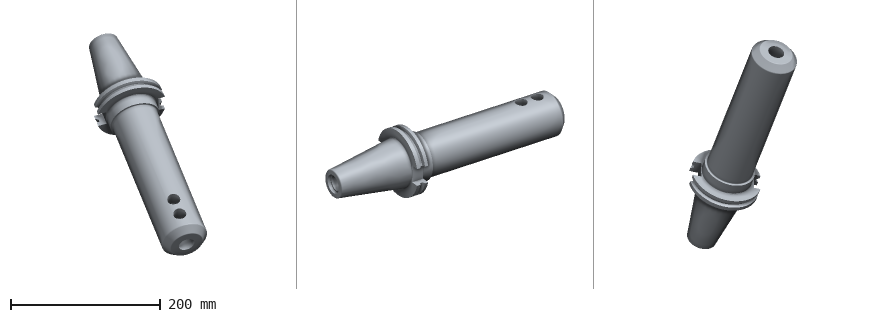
import cadquery as cq

total_length = 355.5
gauge_x = 101.7
flange_front_x = 103.0
flange_back_x = 121.0
collar_end_x = 136.5

gauge_diameter = 69.7
flange_diameter = 97.5
body_diameter = 63.5
taper_ratio = 7 / 24
taper_tip_diameter = gauge_diameter - gauge_x * taper_ratio
tip_fillet = 1.8
nose_chamfer = 9.2
nose_fillet = 1.8
root_fillet = 1.0

groove_center_x = 112.5
groove_top_width = 7.0
groove_floor_width = 3.5
groove_depth = 4.0

slot_width = 25.5
shallow_floor_y = 38.0
deep_floor_y = -35.0

bore_diameter = 22.0
mouth_diameter = 26.5
mouth_depth = 3.5
counterbore_diameter = 26.3
counterbore_depth = 4.5

screw_diameter = 17.5
screw_from_nose = 29.0
screw_spacing = 25.5


def revolve_about_axis(profile):
    """Revolve a list of (x, radius) points around the X axis."""
    return cq.Workplane("XY").polyline(profile).close().revolve(360, (0, 0, 0), (1, 0, 0))


def make_body():
    tip_radius = taper_tip_diameter / 2
    gauge_radius = gauge_diameter / 2
    flange_radius = flange_diameter / 2
    groove_floor_radius = flange_radius - groove_depth
    body_radius = body_diameter / 2
    return revolve_about_axis([
        (0, 0),
        (0, tip_radius),
        (gauge_x, gauge_radius),
        (flange_front_x, gauge_radius),
        (flange_front_x, flange_radius),
        (groove_center_x - groove_top_width / 2, flange_radius),
        (groove_center_x - groove_floor_width / 2, groove_floor_radius),
        (groove_center_x + groove_floor_width / 2, groove_floor_radius),
        (groove_center_x + groove_top_width / 2, flange_radius),
        (flange_back_x, flange_radius),
        (flange_back_x, gauge_radius),
        (collar_end_x, gauge_radius),
        (collar_end_x, body_radius),
        (total_length - nose_chamfer, body_radius),
        (total_length, body_radius - nose_chamfer),
        (total_length, 0),
    ])


def make_bore():
    return revolve_about_axis([
        (0, 0),
        (0, mouth_diameter / 2),
        (mouth_depth, mouth_diameter / 2),
        (mouth_depth, counterbore_diameter / 2),
        (counterbore_depth, counterbore_diameter / 2),
        (counterbore_depth, bore_diameter / 2),
        (total_length, bore_diameter / 2),
        (total_length, 0),
    ])


def fillet_ring(body, x, diameter, fillet_radius):
    """Round the circular edge of the given diameter centred on the axis at x."""
    margin = 0.05
    half = diameter / 2 + margin
    slab = cq.selectors.BoxSelector((x - margin, -half, -half), (x + margin, half, half), boundingbox=True)
    return body.edges(slab).edges("%CIRCLE").fillet(fillet_radius)


def round_edges(body):
    """Round the taper tip, the roots of the flange and collar steps, and the nose corners."""
    nose_diameter = body_diameter - 2 * nose_chamfer
    for x, diameter, fillet_radius in (
        (0, taper_tip_diameter, tip_fillet),
        (flange_front_x, gauge_diameter, root_fillet),
        (flange_back_x, gauge_diameter, root_fillet),
        (collar_end_x, body_diameter, root_fillet),
        (total_length - nose_chamfer, body_diameter, nose_fillet),
        (total_length, nose_diameter, nose_fillet),
    ):
        body = fillet_ring(body, x, diameter, fillet_radius)
    return body


def make_drive_slot(floor_y):
    """Box running from the slot floor out past the flange rim on the same side."""
    side = 1 if floor_y > 0 else -1
    flange_width = flange_back_x - flange_front_x
    depth = flange_diameter / 2
    return cq.Workplane("XY").box(flange_width, depth, slot_width).translate(
        (flange_front_x + flange_width / 2, floor_y + side * depth / 2, 0)
    )


def make_screw_hole(x):
    return cq.Workplane("XY").center(x, 0).circle(screw_diameter / 2).extrude(body_diameter)


result = round_edges(make_body()).cut(make_bore())
for floor_y in (shallow_floor_y, deep_floor_y):
    result = result.cut(make_drive_slot(floor_y))
for index in range(2):
    result = result.cut(make_screw_hole(total_length - screw_from_nose - index * screw_spacing))